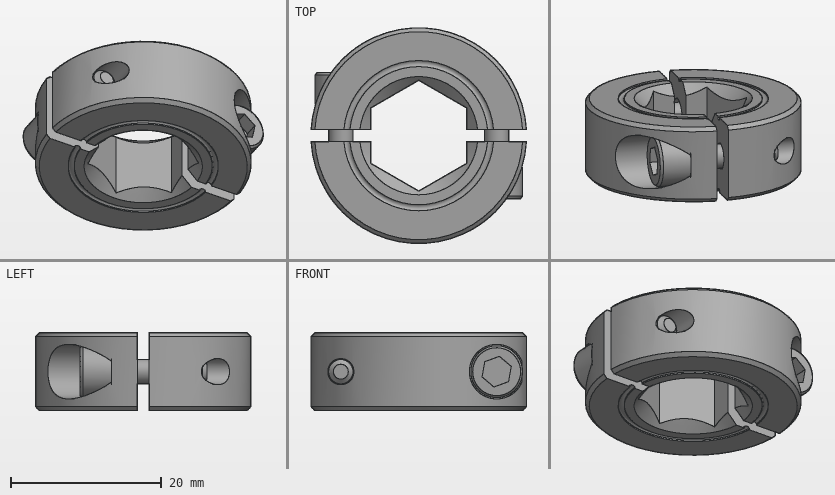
import cadquery as cq
import math

outer_radius = 14.28
height = 10.3
edge_chamfer = 0.5
gap = 1.57

bore_across_flats = 12.69
lead_in_radius = 7.83
lead_in_angle = 45.0

groove_inner_radius = 9.15
groove_outer_radius = 9.95
groove_depth = 0.4
groove_wall = 0.2

screw_offset = 10.3
seat_distance = 4.2
head_diameter = 6.85
head_height = 4.17
head_chamfer_radial = 0.25
head_chamfer_axial = 0.37
shank_diameter = 3.23
tip_distance = 8.45
tip_flat_diameter = 1.97
socket_across_corners = 4.1
socket_depth = 2.0
socket_turn = 20.0

counterbore_diameter = 7.23
clearance_diameter = 4.3
threaded_diameter = 3.45

half_height = height / 2
half_gap = gap / 2
hexagon_half_angle = 30.0
half_turn = 180.0


def revolve_profile(points):
    """Solid of revolution about Z from (radius, z) points."""
    return cq.Workplane("XZ").polyline(points).close().revolve(360, (0, 0), (0, 1))


def lead_in_cutter():
    """Cone that opens the hexagonal bore at the top face."""
    cone_depth = lead_in_radius / math.tan(math.radians(lead_in_angle))
    return revolve_profile([
        (0, half_height),
        (lead_in_radius, half_height),
        (0, half_height - cone_depth),
    ])


def groove_cutter():
    """Round-bottomed ring groove in the top face."""
    middle_radius = (groove_inner_radius + groove_outer_radius) / 2
    wall_end = half_height - groove_wall
    return (
        cq.Workplane("XZ")
        .moveTo(groove_inner_radius, half_height)
        .lineTo(groove_inner_radius, wall_end)
        .threePointArc((middle_radius, half_height - groove_depth), (groove_outer_radius, wall_end))
        .lineTo(groove_outer_radius, half_height)
        .close()
        .revolve(360, (0, 0), (0, 1))
    )


def make_ring():
    """Whole collar before it is split and drilled."""
    ring = cq.Workplane("XY").circle(outer_radius).extrude(half_height, both=True)
    ring = ring.edges("%CIRCLE").chamfer(edge_chamfer)
    bore_across_corners = bore_across_flats / math.cos(math.radians(hexagon_half_angle))
    bore = cq.Workplane("XY").polygon(6, bore_across_corners).extrude(height, both=True)
    ring = ring.cut(bore.rotate((0, 0, 0), (0, 0, 1), hexagon_half_angle))
    for cutter in (lead_in_cutter(), groove_cutter()):
        ring = ring.cut(cutter).cut(cutter.mirror("XY"))
    return ring


def y_cylinder(x, diameter, y_start, length):
    """Cylinder parallel to Y that runs from y_start towards +Y."""
    return (
        cq.Workplane("XZ", origin=(x, y_start, 0))
        .circle(diameter / 2)
        .extrude(-length)
    )


def make_back_half():
    """Half on the +Y side: the head seats at -X and the thread is at +X."""
    keeper = cq.Workplane("XY").box(
        2 * outer_radius, outer_radius, height, centered=(True, False, True)
    ).translate((0, half_gap, 0))
    half = make_ring().intersect(keeper)
    half = half.cut(y_cylinder(-screw_offset, clearance_diameter, 0, outer_radius))
    half = half.cut(y_cylinder(-screw_offset, counterbore_diameter, seat_distance, outer_radius))
    return half.cut(y_cylinder(screw_offset, threaded_diameter, 0, outer_radius))


def make_left_screw():
    """Screw at -X, with its head towards +Y."""
    head_radius = head_diameter / 2
    shank_radius = shank_diameter / 2
    tip_radius = tip_flat_diameter / 2
    tip_chamfer = shank_radius - tip_radius
    head_top = seat_distance + head_height
    screw = revolve_profile([
        (0, -tip_distance),
        (tip_radius, -tip_distance),
        (shank_radius, -tip_distance + tip_chamfer),
        (shank_radius, seat_distance),
        (head_radius, seat_distance),
        (head_radius, head_top - head_chamfer_axial),
        (head_radius - head_chamfer_radial, head_top),
        (0, head_top),
    ])
    socket = (
        cq.Workplane("XY", origin=(0, 0, head_top - socket_depth))
        .polygon(6, socket_across_corners)
        .extrude(socket_depth)
        .rotate((0, 0, 0), (0, 0, 1), socket_turn)
    )
    return (
        screw.cut(socket)
        .rotate((0, 0, 0), (1, 0, 0), -90)
        .translate((-screw_offset, 0, 0))
    )


back_half = make_back_half()
left_screw = make_left_screw()
bodies = []
for turn in (0, half_turn):
    for body in (back_half, left_screw):
        bodies.append(body.rotate((0, 0, 0), (0, 0, 1), turn).val())

result = cq.Compound.makeCompound(bodies)